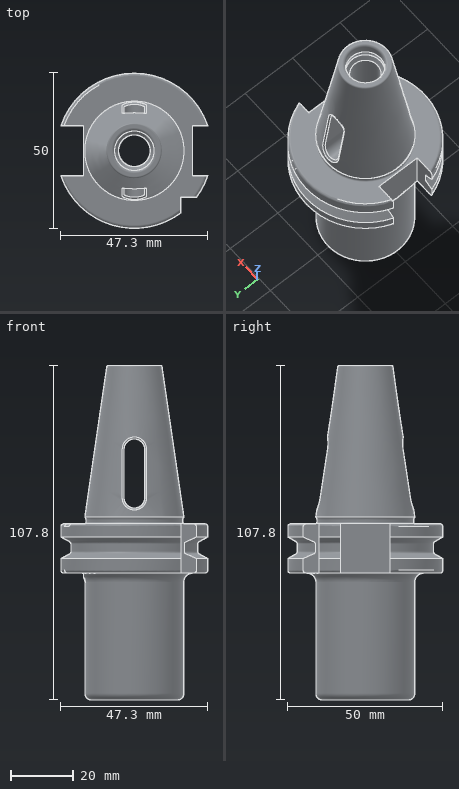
import cadquery as cq
import math


total_height = 107.8

taper_height = 47.8
gauge_radius = 15.8
taper_slope = 7 / 48
taper_rim_fillet = 0.5
taper_overrun = 1.1
top_radius = gauge_radius - taper_slope * taper_height
taper_end_radius = gauge_radius + taper_slope * taper_overrun

relief_radius = 15.6
relief_chamfer_height = 0.6
relief_floor_top = -taper_overrun - relief_chamfer_height
relief_corner_fillet = 0.9
relief_fillet = 0.5

flange_radius = 25.0
flange_top = -3.2
flange_thickness = 16.0
flange_bottom = flange_top - flange_thickness
flange_edge_fillet = 1.0
groove_floor_radius = 22.0
groove_floor_width = 3.5
groove_corner_fillet = 0.8
groove_center = -11.0
groove_flank_angle = 30
groove_half_floor = groove_floor_width / 2
groove_half_mouth = groove_half_floor + (flange_radius - groove_floor_radius) * math.tan(
    math.radians(groove_flank_angle)
)

body_bottom = taper_height - total_height
body_radius = 16.0
neck_fillet = 2.9
body_end_fillet = 2.0

drive_slot_width = 16.1
left_slot_floor = 16.4
right_slot_floor = 18.8
notch_x = 15.0
notch_y = -15.0

bore_radius = 5.1
counterbore_radius = 6.4
counterbore_depth = 5.6
counterbore_fillet = 1.0
undercut_radius = 7.0
undercut_height = 2.0
undercut_depth = undercut_radius - counterbore_radius
bore_lead_in = counterbore_radius - bore_radius

drift_width = 6.6
drift_top = 24.0
drift_bottom = 1.8
drift_edge_chamfer = 0.6


def box_around(half_x, half_y, low, high):
    """Selector for edges centred inside a box about the Z axis, grown a little on every side."""
    margin = 0.05
    return cq.selectors.BoxSelector(
        (-half_x - margin, -half_y - margin, low - margin),
        (half_x + margin, half_y + margin, high + margin),
    )


def fillet_ring(solid, radius, height, fillet):
    """Fillet the circular edge of the turned profile at the given height."""
    return solid.edges(box_around(radius, radius, height, height)).edges("%CIRCLE").fillet(fillet)


def make_turned_blank():
    """Outer profile revolved about Z."""
    profile = (
        cq.Workplane("XZ")
        .moveTo(0, taper_height)
        .lineTo(top_radius, taper_height)
        .lineTo(taper_end_radius, -taper_overrun)
        .lineTo(relief_radius, relief_floor_top)
        .lineTo(relief_radius, flange_top + relief_fillet)
        .radiusArc((relief_radius + relief_fillet, flange_top), -relief_fillet)
        .lineTo(flange_radius - flange_edge_fillet, flange_top)
        .radiusArc((flange_radius, flange_top - flange_edge_fillet), flange_edge_fillet)
        .lineTo(flange_radius, groove_center + groove_half_mouth)
        .lineTo(groove_floor_radius, groove_center + groove_half_floor)
        .lineTo(groove_floor_radius, groove_center - groove_half_floor)
        .lineTo(flange_radius, groove_center - groove_half_mouth)
        .lineTo(flange_radius, flange_bottom + flange_edge_fillet)
        .radiusArc((flange_radius - flange_edge_fillet, flange_bottom), flange_edge_fillet)
        .lineTo(body_radius + neck_fillet, flange_bottom)
        .radiusArc((body_radius, flange_bottom - neck_fillet), -neck_fillet)
        .lineTo(body_radius, body_bottom + body_end_fillet)
        .radiusArc((body_radius - body_end_fillet, body_bottom), body_end_fillet)
        .lineTo(0, body_bottom)
        .close()
    )
    blank = profile.revolve(360, (0, 0, 0), (0, 1, 0))
    blank = blank.faces(">Z").edges().fillet(taper_rim_fillet)
    blank = fillet_ring(blank, relief_radius, relief_floor_top, relief_corner_fillet)
    for side in (1, -1):
        corner = groove_center + side * groove_half_floor
        blank = fillet_ring(blank, groove_floor_radius, corner, groove_corner_fillet)
    return blank


def make_bore():
    """Through bore with a rounded, undercut counterbore at the small end of the taper."""
    counterbore_floor = taper_height - counterbore_depth
    profile = (
        cq.Workplane("XZ")
        .moveTo(0, taper_height)
        .lineTo(counterbore_radius + counterbore_fillet, taper_height)
        .radiusArc((counterbore_radius, taper_height - counterbore_fillet), -counterbore_fillet)
        .lineTo(counterbore_radius, counterbore_floor + undercut_height)
        .lineTo(undercut_radius, counterbore_floor + undercut_height)
        .lineTo(undercut_radius, counterbore_floor + undercut_depth)
        .radiusArc((counterbore_radius, counterbore_floor), undercut_depth)
        .lineTo(bore_radius, counterbore_floor - bore_lead_in)
        .lineTo(bore_radius, body_bottom)
        .lineTo(0, body_bottom)
        .close()
    )
    return profile.revolve(360, (0, 0, 0), (0, 1, 0))


def make_drift_slot():
    """Round-ended slot running right through along Y."""
    length = drift_top - drift_bottom
    return (
        cq.Workplane("XZ")
        .center(0, (drift_top + drift_bottom) / 2)
        .slot2D(length, drift_width, 90)
        .extrude(gauge_radius * 2, both=True)
    )


def make_drive_slot(side, floor):
    """Square slot open to the flange rim on the +X (side = 1) or -X (side = -1) side."""
    depth = flange_radius
    height = flange_thickness + neck_fillet
    return (
        cq.Workplane("XY")
        .box(depth, drive_slot_width, height, centered=(True, True, False))
        .translate((side * (floor + depth / 2), 0, flange_top - height))
    )


def make_notch():
    """Square corner cut from the flange rim in the +X, -Y quadrant."""
    return (
        cq.Workplane("XY")
        .box(flange_radius, flange_radius, flange_thickness, centered=False)
        .translate((notch_x, notch_y - flange_radius, flange_bottom))
    )


holder = make_turned_blank().cut(make_drift_slot())
drift_edges = box_around(drift_width, gauge_radius, drift_bottom, drift_top)
holder = holder.edges(drift_edges).chamfer(drift_edge_chamfer)
holder = holder.cut(make_bore())
holder = holder.cut(make_drive_slot(-1, left_slot_floor))
holder = holder.cut(make_drive_slot(1, right_slot_floor))
result = holder.cut(make_notch())